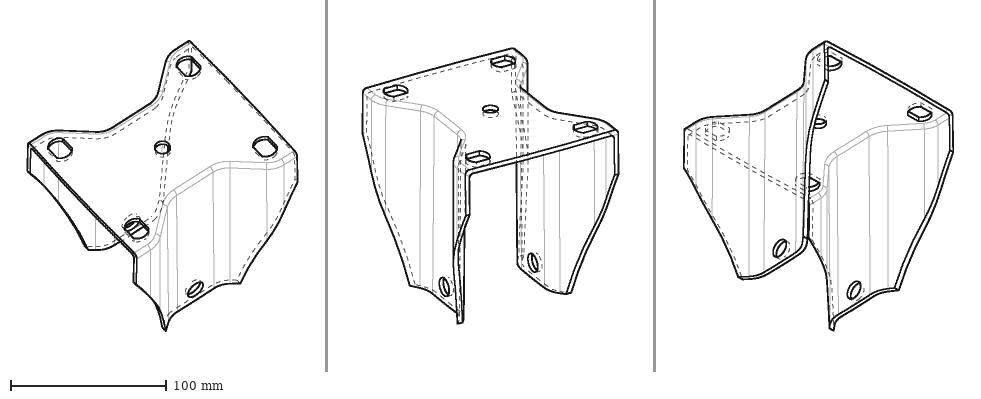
import cadquery as cq
import math

length = 132.8
width = 114.1
height = 132.3
plate_thickness = 3.5
wall_thickness = 3.0
outer_bend = 3.0
inner_bend = 2.7

waist_top = 33.5
waist_bottom = 34.7
waist_half_flat = 14.9
waist_radius = 16.3
tab_start = 54.7
tab_radius = 17.3
trim_margin = 6.6

tab_top_end = 65.5
tab_bottom_end = 66.0
plate_arc_reach = 51.4
tab_bottom = 32.4
taper_middle = (43.4, 84.3)
foot_corner = (30.4, 131.3)

center_hole = 10.0
axle_hole = 12.4
axle_depth = 120.5
slot_length = 15.7
slot_width = 12.4
slot_x = 40.1
slot_y = 52.5


def hourglass(waist, inset, half_length, z):
    """Closed section around both walls, moved inwards from the outer face by inset."""
    tab_x = width / 2 - inset
    waist_x = waist - inset
    tab_r = tab_radius - inset
    waist_r = waist_radius + inset

    tab_center_x = tab_x - tab_r
    waist_center_x = waist_x + waist_r
    shift_x = waist_center_x - tab_center_x
    shift_y = tab_start - waist_half_flat
    distance = math.hypot(shift_x, shift_y)
    slope = math.asin((tab_r + waist_r) / distance) - math.atan2(shift_x, shift_y)

    def tab_point(angle):
        return (tab_center_x + tab_r * math.cos(angle), tab_start - tab_r * math.sin(angle))

    def waist_point(angle):
        return (waist_center_x - waist_r * math.cos(angle), waist_half_flat + waist_r * math.sin(angle))

    def place(point, x_sign, y_sign):
        return (x_sign * point[0], y_sign * point[1])

    sketch = cq.Workplane("XY", origin=(0, 0, z)).moveTo(tab_x, half_length)
    for side in (1, -1):
        tab_bend = [place(tab_point(slope * part), side, side) for part in (0, 0.5, 1)]
        waist_bend = [place(waist_point(slope * part), side, side) for part in (1, 0.5, 0)]
        far_waist_bend = [(x, -y) for x, y in reversed(waist_bend)]
        far_tab_bend = [(x, -y) for x, y in reversed(tab_bend)]
        if side == -1:
            sketch = sketch.lineTo(side * tab_x, side * half_length)
        for start, middle, end in (tab_bend, waist_bend, far_waist_bend, far_tab_bend):
            sketch = sketch.lineTo(*start).threePointArc(middle, end)
        sketch = sketch.lineTo(side * tab_x, -side * half_length)
    return sketch.close().val()


def lofted_block(inset, half_length, top_z, bend):
    """Solid between the section at top_z and the foot, with its long top edges rounded."""
    top = hourglass(waist_top, inset, half_length, top_z)
    foot = hourglass(waist_bottom, inset, half_length, -height)
    block = cq.Workplane(cq.Solid.makeLoft([top, foot], True))
    rim = block.faces(">Z").edges("not (<Y or >Y)")
    return rim.fillet(bend)


def folded_sheet():
    """Plate and walls with untrimmed ends."""
    outer = lofted_block(0, length / 2 + trim_margin, 0, outer_bend)
    inner = lofted_block(wall_thickness, length / 2 + 2 * trim_margin, -plate_thickness, inner_bend)
    return outer.cut(inner)


def plate_outline():
    """Slab whose two Y ends bow outwards between the tabs."""
    return (
        cq.Workplane("XY")
        .moveTo(-width / 2, -tab_top_end)
        .lineTo(-plate_arc_reach, -tab_top_end)
        .threePointArc((0, -length / 2), (plate_arc_reach, -tab_top_end))
        .lineTo(width / 2, -tab_top_end)
        .lineTo(width / 2, tab_top_end)
        .lineTo(plate_arc_reach, tab_top_end)
        .threePointArc((0, length / 2), (-plate_arc_reach, tab_top_end))
        .lineTo(-width / 2, tab_top_end)
        .close()
        .extrude(-plate_thickness)
    )


def wall_outline():
    """Tapered silhouette of the walls along X, with a bowed foot."""
    middle_y, middle_depth = taper_middle
    foot_y, foot_depth = foot_corner
    return (
        cq.Workplane("YZ")
        .moveTo(-tab_top_end, -plate_thickness)
        .lineTo(-tab_bottom_end, -tab_bottom)
        .threePointArc((-middle_y, -middle_depth), (-foot_y, -foot_depth))
        .threePointArc((0, -height), (foot_y, -foot_depth))
        .threePointArc((middle_y, -middle_depth), (tab_bottom_end, -tab_bottom))
        .lineTo(tab_top_end, -plate_thickness)
        .close()
        .extrude(width / 2, both=True)
    )


def plate_holes():
    """Round hole in the middle and four slots with shallow arc ends."""
    slot_spots = [(x, y) for x in (-slot_x, slot_x) for y in (-slot_y, slot_y)]
    slots = (
        cq.Workplane("XY")
        .pushPoints(slot_spots)
        .circle(slot_length / 2)
        .extrude(-plate_thickness)
    )
    slot_sides = (
        cq.Workplane("XY")
        .pushPoints(slot_spots)
        .rect(slot_length, slot_width)
        .extrude(-plate_thickness)
    )
    center = cq.Workplane("XY").circle(center_hole / 2).extrude(-plate_thickness)
    return slots.intersect(slot_sides).union(center)


def axle_bore():
    """One bore along X through both waists."""
    return (
        cq.Workplane("YZ")
        .center(0, -axle_depth)
        .circle(axle_hole / 2)
        .extrude(width / 2, both=True)
    )


trimmed = folded_sheet().intersect(plate_outline().union(wall_outline()))
result = trimmed.cut(plate_holes()).cut(axle_bore())